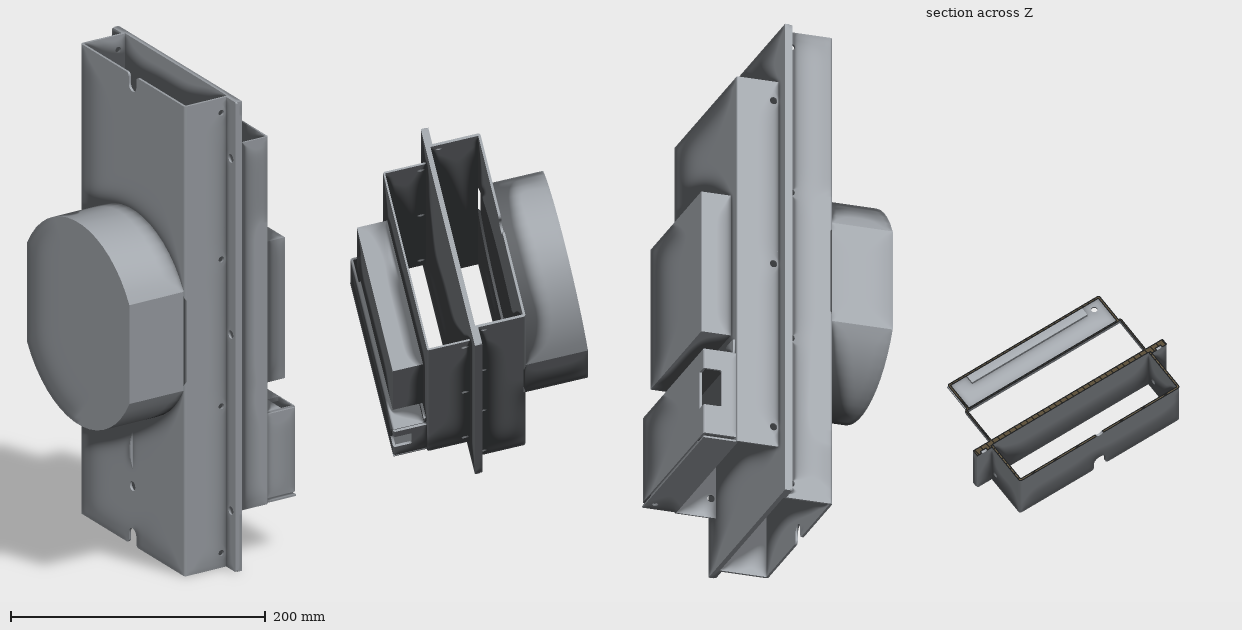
import cadquery as cq


PLATE_WIDTH = 181.0
HEIGHT = 400.0
PLATE_THICKNESS = 4.0
STRIP_THICKNESS = 2.0
STRIP_CORNER_RADIUS = 1.5
STRIP_HOLE_DIAMETER = 7.0
STRIP_HOLE_SPACING_X = 167.0
STRIP_HOLE_PITCH_Z = 150.0

TOTAL_DEPTH = 156.55
BOX_BACK_Y = 61.5

FRONT_WIDTH = 153.0
FRONT_DEPTH = 40.5
FRONT_SHEET = 2.0
FRONT_BEND_RADIUS = 2.0
FRONT_HOLE_DIAMETER = 5.0
FRONT_HOLE_Y = -10.5
FRONT_HOLE_PITCH = 125.0
FRONT_HOLE_ROWS = 4
FRONT_REAR_Y = -PLATE_THICKNESS
FRONT_FACE_Y = FRONT_REAR_Y - FRONT_DEPTH

SLOT_WIDTH = 11.0
SLOT_DEPTH = 14.0
SLOT_MOUTH_RADIUS = 3.0
WEB_HOLE_DIAMETER = 8.0
WEB_HOLE_Z = -150.0
RIB_Z = -120.0
RIB_LENGTH = 31.0
RIB_HEIGHT = 2.5
RIB_THICKNESS = 1.4

DRUM_RADIUS = 86.0
DRUM_WIDTH = 150.0
DRUM_FACE_Y = BOX_BACK_Y - TOTAL_DEPTH
OPENING_RADIUS = 84.0

REAR_WIDTH = 149.0
REAR_HEIGHT = 313.0
REAR_DEPTH = 34.5
REAR_SHEET = 1.5
REAR_BEND_RADIUS = 1.5
REAR_HOLE_DIAMETER = 6.0
REAR_HOLE_Y = 4.0
REAR_HOLE_PITCH = 140.0
REAR_HOLE_ROWS = 3

FAN_SIZE = 120.0
FAN_BACK_Y = 59.0

BOX_WIDTH = 145.0
BOX_LID_TOP_Z = -79.5
BOX_LID_THICKNESS = 1.5
BOX_LID_BEND_RADIUS = 1.4
BOX_TOP_Z = BOX_LID_TOP_Z - BOX_LID_THICKNESS
BOX_BOTTOM_Z = -152.5
BOX_SHEET = 2.0
BOX_BEND_RADIUS = 1.8
BOX_INNER_WIDTH = BOX_WIDTH - 2 * BOX_SHEET
BOX_LID_WIDTH = BOX_WIDTH - 2 * BOX_BEND_RADIUS
NOTCH_TOP_Z = -97.0
NOTCH_BOTTOM_Z = -128.0
NOTCH_DEPTH = 15.0
NOTCH_REACH = 9.5
NOTCH_CORNER_RADIUS = 1.5
TOP_OPENING_LEFT_X = 50.0
TOP_OPENING_FRONT_Y = 49.0

COVER_THICKNESS = 1.5
COVER_SCREW_X = 63.0
COVER_SCREW_Y = 54.0
COVER_SCREW_DIAMETER = 5.0
LIP_WIDTH = 110.0
LIP_FRONT_Y = 52.0

TAB_TOP_Z = -68.0
WIDE_TAB_WIDTH = 16.0
NARROW_TAB_WIDTH = 1.4
NARROW_TAB_X = 65.0


def block(x_range, y_range, z_range):
    """Box between two limits on each axis."""
    (x0, x1), (y0, y1), (z0, z1) = x_range, y_range, z_range
    return cq.Workplane("XY").box(x1 - x0, y1 - y0, z1 - z0, centered=False).translate((x0, y0, z0))


def span(size):
    """Limits of a size centred on zero."""
    return (-size / 2, size / 2)


def on_front(y):
    """Sketch plane facing -Y: local x is X, local y is Z, extrusion goes toward -Y."""
    return cq.Workplane("XZ", origin=(0, y, 0))


def side_holes(y, diameter, pitch, rows):
    """Row of cylinders along X that pierce both side walls of a channel."""
    points = [(y, (row - (rows - 1) / 2) * pitch) for row in range(rows)]
    return cq.Workplane("YZ").pushPoints(points).circle(diameter / 2).extrude(PLATE_WIDTH / 2, both=True)




def front_channel():
    """U-shaped sheet, open at the top and bottom, with rounded front bends."""
    outer = block(span(FRONT_WIDTH), (FRONT_FACE_Y, FRONT_REAR_Y), span(HEIGHT))
    outer = outer.faces("<Y").edges("|Z").fillet(FRONT_BEND_RADIUS)
    hollow = block(
        span(FRONT_WIDTH - 2 * FRONT_SHEET),
        (FRONT_FACE_Y + FRONT_SHEET, FRONT_REAR_Y),
        span(HEIGHT),
    )
    return outer.cut(hollow)


def end_slot(end):
    """Round-bottomed slot with a flared mouth; end is +1 at the top, -1 at the bottom."""
    half = SLOT_WIDTH / 2
    flared = half + SLOT_MOUTH_RADIUS
    edge_z = end * HEIGHT / 2
    mouth_z = edge_z - end * SLOT_MOUTH_RADIUS
    arc_z = edge_z - end * (SLOT_DEPTH - half)
    bottom_z = edge_z - end * SLOT_DEPTH
    return (
        on_front(FRONT_FACE_Y + FRONT_SHEET)
        .moveTo(-flared, edge_z)
        .radiusArc((-half, mouth_z), end * SLOT_MOUTH_RADIUS)
        .lineTo(-half, arc_z)
        .threePointArc((0, bottom_z), (half, arc_z))
        .lineTo(half, mouth_z)
        .radiusArc((flared, edge_z), end * SLOT_MOUTH_RADIUS)
        .close()
        .extrude(FRONT_SHEET)
    )


def web_opening():
    """Round opening through the web; it also breaks through the two bends."""
    return on_front(FRONT_FACE_Y + FRONT_SHEET).circle(OPENING_RADIUS).extrude(FRONT_SHEET)


def web_hole():
    return (
        on_front(FRONT_FACE_Y + FRONT_SHEET)
        .center(0, WEB_HOLE_Z)
        .circle(WEB_HOLE_DIAMETER / 2)
        .extrude(FRONT_SHEET)
    )


def drum():
    """Disc with its left and right sides cut flat."""
    length = FRONT_FACE_Y - DRUM_FACE_Y
    disc = on_front(FRONT_FACE_Y).circle(DRUM_RADIUS).extrude(length)
    return disc.intersect(block(span(DRUM_WIDTH), (DRUM_FACE_Y, FRONT_FACE_Y), span(2 * DRUM_RADIUS)))


def arched_rib():
    """Thin upright rib on the web with an arched front edge."""
    return (
        cq.Workplane("YZ")
        .moveTo(FRONT_FACE_Y, RIB_Z - RIB_LENGTH / 2)
        .threePointArc((FRONT_FACE_Y - RIB_HEIGHT, RIB_Z), (FRONT_FACE_Y, RIB_Z + RIB_LENGTH / 2))
        .close()
        .extrude(RIB_THICKNESS / 2, both=True)
    )


def build_front_housing():
    housing = front_channel().cut(web_opening()).cut(web_hole())
    for end in (1, -1):
        housing = housing.cut(end_slot(end))
    housing = housing.cut(side_holes(FRONT_HOLE_Y, FRONT_HOLE_DIAMETER, FRONT_HOLE_PITCH, FRONT_HOLE_ROWS))
    return housing.union(drum()).union(arched_rib())




def mounting_plate():
    """Flat plate; the side strips leave a shallow channel seat between them."""
    plate = block(span(PLATE_WIDTH), (-PLATE_THICKNESS, 0), span(HEIGHT))
    strips = block(span(PLATE_WIDTH), (-PLATE_THICKNESS - STRIP_THICKNESS, -PLATE_THICKNESS), span(HEIGHT))
    strips = strips.edges("|Y").fillet(STRIP_CORNER_RADIUS)
    strips = strips.cut(
        block(span(FRONT_WIDTH), (-PLATE_THICKNESS - STRIP_THICKNESS, -PLATE_THICKNESS), span(HEIGHT))
    )
    holes = (
        on_front(-PLATE_THICKNESS)
        .rarray(STRIP_HOLE_SPACING_X, STRIP_HOLE_PITCH_Z, 2, 3)
        .circle(STRIP_HOLE_DIAMETER / 2)
        .extrude(STRIP_THICKNESS)
    )
    return plate.union(strips.cut(holes))


def rear_channel():
    """U-shaped sheet with its walls standing on the back of the plate."""
    outer = block(span(REAR_WIDTH), (0, REAR_DEPTH), span(REAR_HEIGHT))
    outer = outer.faces(">Y").edges("|Z").fillet(REAR_BEND_RADIUS)
    hollow = block(span(REAR_WIDTH - 2 * REAR_SHEET), (0, REAR_DEPTH - REAR_SHEET), span(REAR_HEIGHT))
    holes = side_holes(REAR_HOLE_Y, REAR_HOLE_DIAMETER, REAR_HOLE_PITCH, REAR_HOLE_ROWS)
    return outer.cut(hollow).cut(holes)


def fan_block():
    return block(span(FAN_SIZE), (REAR_DEPTH, FAN_BACK_Y), span(FAN_SIZE))


def cable_notch():
    """Opening that wraps from the -X side wall onto the back wall of the control box."""
    left_x = -BOX_WIDTH / 2
    notch = block(
        (left_x, left_x + NOTCH_REACH),
        (BOX_BACK_Y - NOTCH_DEPTH, BOX_BACK_Y),
        (NOTCH_BOTTOM_Z, NOTCH_TOP_Z),
    )
    return notch.faces("<Y").edges("|X").fillet(NOTCH_CORNER_RADIUS)


def control_box():
    """Sheet box on the rear channel, open at the bottom, with a lid set in from its side walls."""
    outer = block(span(BOX_WIDTH), (REAR_DEPTH, BOX_BACK_Y), (BOX_BOTTOM_Z, BOX_TOP_Z))
    outer = outer.faces(">Y").edges("|Z").fillet(BOX_BEND_RADIUS)
    lid = block(span(BOX_LID_WIDTH), (REAR_DEPTH, BOX_BACK_Y), (BOX_TOP_Z, BOX_LID_TOP_Z))
    lid = lid.faces(">Z").edges(">Y").fillet(BOX_LID_BEND_RADIUS)
    inner_back_y = BOX_BACK_Y - BOX_SHEET
    inner_top_z = BOX_TOP_Z - BOX_SHEET
    hollow = block(span(BOX_INNER_WIDTH), (REAR_DEPTH, inner_back_y), (BOX_BOTTOM_Z, inner_top_z))
    top_opening = block(
        (TOP_OPENING_LEFT_X, BOX_INNER_WIDTH / 2),
        (TOP_OPENING_FRONT_Y, inner_back_y),
        (inner_top_z, BOX_LID_TOP_Z),
    )
    return outer.union(lid).cut(hollow).cut(top_opening).cut(cable_notch())


def bottom_cover():
    """Cover spaced below the control box and joined to its back wall by a lip."""
    bottom_z = -REAR_HEIGHT / 2
    cover = block(span(BOX_WIDTH), (REAR_DEPTH, BOX_BACK_Y), (bottom_z, bottom_z + COVER_THICKNESS))
    screw_hole = (
        cq.Workplane("XY", origin=(COVER_SCREW_X, COVER_SCREW_Y, bottom_z))
        .circle(COVER_SCREW_DIAMETER / 2)
        .extrude(COVER_THICKNESS)
    )
    lip = block(
        span(LIP_WIDTH),
        (LIP_FRONT_Y, BOX_BACK_Y - BOX_SHEET / 2),
        (bottom_z + COVER_THICKNESS, BOX_BOTTOM_Z),
    )
    return cover.cut(screw_hole).union(lip)


def box_tab(center_x, width):
    """Tab lying flat against the rear channel, just above the lid."""
    return block(
        (center_x - width / 2, center_x + width / 2),
        (REAR_DEPTH, REAR_DEPTH + BOX_SHEET),
        (BOX_LID_TOP_Z, TAB_TOP_Z),
    )


def build_rear_assembly():
    assembly = mounting_plate()
    wide_tab = box_tab((WIDE_TAB_WIDTH - BOX_INNER_WIDTH) / 2, WIDE_TAB_WIDTH)
    narrow_tab = box_tab(NARROW_TAB_X, NARROW_TAB_WIDTH)
    for piece in (rear_channel(), fan_block(), control_box(), bottom_cover(), wide_tab, narrow_tab):
        assembly = assembly.union(piece)
    return assembly


front_housing = build_front_housing()
rear_assembly = build_rear_assembly()

result = cq.Compound.makeCompound([*front_housing.solids().vals(), *rear_assembly.solids().vals()])